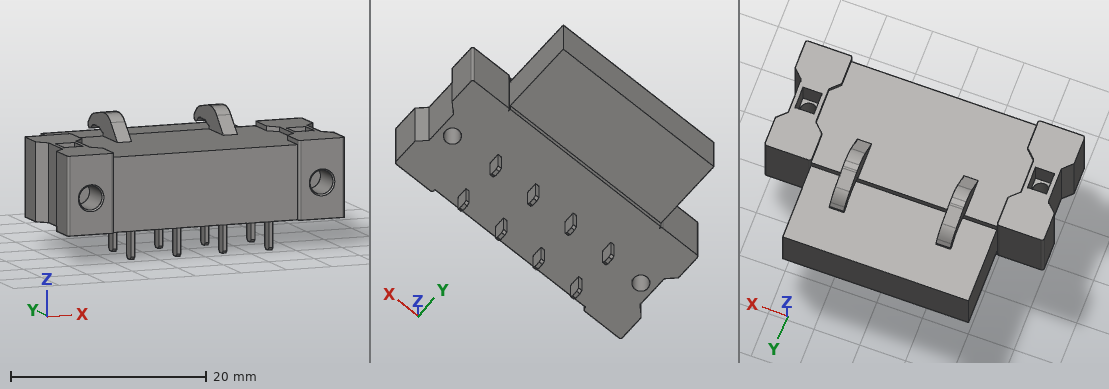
import cadquery as cq


TOTAL_WIDTH = 30.48
TOTAL_DEPTH = 20.65
TOTAL_HEIGHT = 13.47

FLANGE_WIDTH = 5.1
FLANGE_DEPTH = 12.28
FLANGE_HEIGHT = 8.32
FLANGE_CORNER_RADIUS = 0.25
FLANGE_X = (TOTAL_WIDTH - FLANGE_WIDTH) / 2
FLANGE_MID_Y = FLANGE_DEPTH / 2
WAIST_NOTCH = 1.05
WAIST_OUTER_HALF = 2.93
WAIST_INNER_HALF = 1.92

SCREW_HOLE_DIAMETER = 2.5
SCREW_HOLE_CHAMFER = 0.15
SCREW_HOLE_DEPTH = 3.65
SCREW_HOLE_Z = 3.8
POCKET_WIDTH = 2.07
POCKET_LENGTH = 2.38
POCKET_DEPTH = 3.05
BOARD_HOLE_DIAMETER = 1.83

BLOCK_WIDTH = TOTAL_WIDTH - 2 * FLANGE_WIDTH
BLOCK_FRONT_Y = 0.4
BLOCK_HEIGHT = 7.83
PLUG_BOTTOM_Z = 0.88
PLUG_TOP_Z = 6.95

POLES = 4
ROWS = 2
PITCH = 5.05
FIRST_ROW_Y = 1.92
PIN_THICKNESS = 0.43
PIN_WIDTH = 1.28
PIN_LENGTH = 3.17
PIN_TIP_CHAMFER = 0.3

LATCH_WIDTH = 1.55
LATCH_X = 5.82
LATCH_TOP_Z = TOTAL_HEIGHT - PIN_LENGTH
LATCH_UNDERSIDE_Z = 8.6
LATCH_FOOT = (8.2, BLOCK_HEIGHT)
CROWN_FRONT_START = (10.05, 9.6)
CROWN_FRONT_END = (11.75, LATCH_TOP_Z)
CROWN_BACK_START = (12.4, LATCH_TOP_Z)
CROWN_BACK_END = (12.62, 10.27)
NOSE_START = (14.65, 9.85)
NOSE_END = (16.12, 9.0)
TIP_START = (16.45, 8.65)
TIP_MIDDLE = (16.43, 8.25)
TIP_END = (15.97, 8.05)
BARB_BOTTOM = (15.67, 8.1)
BARB_BEND = (15.33, 8.45)
UNDERSIDE_REAR = (15.03, LATCH_UNDERSIDE_Z)
UNDERSIDE_FRONT = (13.47, LATCH_UNDERSIDE_Z)
ROOT_TOP = (FLANGE_DEPTH, 8.15)
ROOT_BOTTOM = (FLANGE_DEPTH, BLOCK_HEIGHT)


def box_between(x_range, y_range, z_range):
    size = [high - low for low, high in (x_range, y_range, z_range)]
    corner = (x_range[0], y_range[0], z_range[0])
    return cq.Workplane("XY").box(*size, centered=False).translate(corner)


def make_flange(center_x):
    """Bone-shaped flange: a rounded block with a tapered notch in each side."""
    flange = (
        cq.Workplane("XY")
        .rect(FLANGE_WIDTH, FLANGE_DEPTH)
        .extrude(FLANGE_HEIGHT)
        .edges("|Z")
        .fillet(FLANGE_CORNER_RADIUS)
    )
    for side in (-1, 1):
        flange = flange.cut(make_waist_wedge(side * FLANGE_WIDTH / 2, -side, FLANGE_HEIGHT))
    return flange.translate((center_x, FLANGE_MID_Y, 0))


def make_waist_wedge(base_x, direction, height):
    """Trapezoidal prism, centred on Y = 0, that narrows from base_x along X."""
    tip_x = base_x + direction * WAIST_NOTCH
    outline = [
        (base_x, -WAIST_OUTER_HALF),
        (tip_x, -WAIST_INNER_HALF),
        (tip_x, WAIST_INNER_HALF),
        (base_x, WAIST_OUTER_HALF),
    ]
    return cq.Workplane("XY").polyline(outline).close().extrude(height)


def make_flange_holes(center_x):
    """Blind chamfered screw hole, square top pocket and hole down to the board."""
    screw_hole_radius = SCREW_HOLE_DIAMETER / 2
    mouth_radius = screw_hole_radius + SCREW_HOLE_CHAMFER
    screw_hole = (
        cq.Workplane("XY")
        .polyline([
            (0, 0),
            (mouth_radius, 0),
            (screw_hole_radius, SCREW_HOLE_CHAMFER),
            (screw_hole_radius, SCREW_HOLE_DEPTH),
            (0, SCREW_HOLE_DEPTH),
        ])
        .close()
        .revolve(360, (0, 0, 0), (0, 1, 0))
        .translate((center_x, 0, SCREW_HOLE_Z))
    )
    pocket = (
        cq.Workplane("XY", origin=(center_x, FLANGE_MID_Y, FLANGE_HEIGHT))
        .rect(POCKET_WIDTH, POCKET_LENGTH)
        .extrude(-POCKET_DEPTH)
    )
    board_hole = (
        cq.Workplane("XY", origin=(center_x, FLANGE_MID_Y, 0))
        .circle(BOARD_HOLE_DIAMETER / 2)
        .extrude(FLANGE_HEIGHT)
    )
    return screw_hole.union(pocket).union(board_hole)


def make_latch(center_x):
    """Hook that rises from the top of the block and reaches back over the plug."""
    profile = (
        cq.Workplane("YZ", origin=(center_x - LATCH_WIDTH / 2, 0, 0))
        .moveTo(*LATCH_FOOT)
        .lineTo(*CROWN_FRONT_START)
        .tangentArcPoint(CROWN_FRONT_END, relative=False)
        .lineTo(*CROWN_BACK_START)
        .tangentArcPoint(CROWN_BACK_END, relative=False)
        .lineTo(*NOSE_START)
        .tangentArcPoint(NOSE_END, relative=False)
        .lineTo(*TIP_START)
        .threePointArc(TIP_MIDDLE, TIP_END)
        .lineTo(*BARB_BOTTOM)
        .lineTo(*BARB_BEND)
        .lineTo(*UNDERSIDE_REAR)
        .lineTo(*UNDERSIDE_FRONT)
        .lineTo(*ROOT_TOP)
        .lineTo(*ROOT_BOTTOM)
        .close()
    )
    return profile.extrude(LATCH_WIDTH)


def make_housing():
    """One moulding: block, plug section, two flanges and two latch hooks."""
    half_width = BLOCK_WIDTH / 2
    x_range = (-half_width, half_width)
    housing = box_between(x_range, (BLOCK_FRONT_Y, FLANGE_DEPTH), (0, BLOCK_HEIGHT))
    plug = box_between(x_range, (FLANGE_DEPTH, TOTAL_DEPTH), (PLUG_BOTTOM_Z, PLUG_TOP_Z))
    housing = housing.union(plug)
    for side in (-1, 1):
        shoulder = make_waist_wedge(side * half_width, side, BLOCK_HEIGHT)
        housing = housing.union(shoulder.translate((0, FLANGE_MID_Y, 0)))
        housing = housing.union(make_flange(side * FLANGE_X))
        housing = housing.cut(make_flange_holes(side * FLANGE_X))
        housing = housing.union(make_latch(side * LATCH_X))
    return housing


def make_pin(center_x, center_y):
    """Flat solder pin below the housing, with its narrow edges chamfered at the tip."""
    return (
        cq.Workplane("XY")
        .rect(PIN_THICKNESS, PIN_WIDTH)
        .extrude(-PIN_LENGTH)
        .faces("<Z")
        .edges("|X")
        .chamfer(PIN_TIP_CHAMFER)
        .translate((center_x, center_y, 0))
    )


housing = make_housing().solids().val()

pins = []
for row in range(ROWS):
    for pole in range(POLES):
        pin_x = (pole - (POLES - 1) / 2) * PITCH
        pin_y = FIRST_ROW_Y + row * PITCH
        pins.append(make_pin(pin_x, pin_y).val())

result = cq.Compound.makeCompound([housing, *pins])